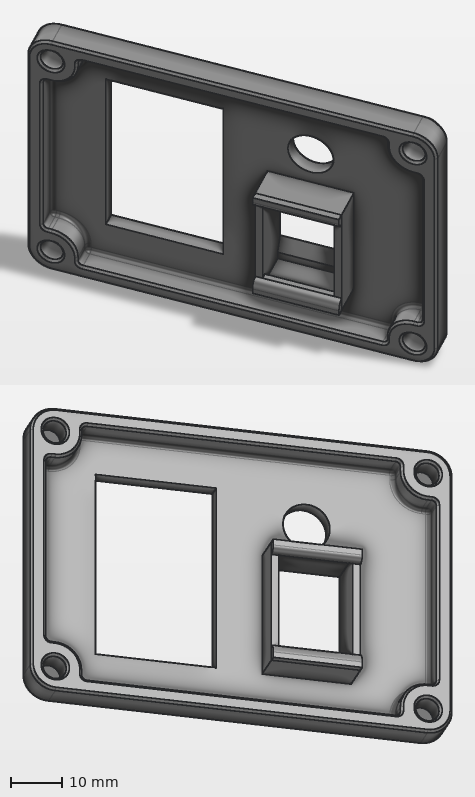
import cadquery as cq
import math


LENGTH = 85.0
HEIGHT = 60.0
THICKNESS = 8.0
CORNER_RADIUS = 5.0
BACK_CHAMFER = 2.4
RIM_CHAMFER = 0.5
SIDE_WALL = 3.15
END_WALL = 3.0
FLOOR = 3.0
FLOOR_FILLET = 0.9
POCKET_CORNER_RADIUS = 1.0

SCREW_INSET = 4.9
BOSS_RADIUS = 5.4
SCREW_HOLE_DIAMETER = 4.7
SCREW_HOLE_DEPTH = 5.0

WINDOW_WIDTH = 24.3
WINDOW_HEIGHT = 38.25
WINDOW_X = -15.9
ROUND_HOLE_DIAMETER = 9.4
SOCKET_X = 14.45
ROUND_HOLE_Z = 13.1

FRAME_WIDTH = 17.9
FRAME_HEIGHT = 25.2
FRAME_FRONT = 9.8
FRAME_CENTER_Z = -6.8
FRAME_SIDE_WALL = 1.5
FRAME_END_WALL = 1.3
SILL_RISE = 1.6
SILL_DEPTH = 1.45
RAMP_RISE = 3.3
LEDGE_DEPTH = 1.3

TOTAL_DEPTH = 11.2
LIP_FLAT = 1.2
LOWER_LIP_HEIGHT = 3.2

SELECT_MARGIN = 0.1

UPPER_LIP_HEIGHT = LIP_FLAT + TOTAL_DEPTH - FRAME_FRONT
SCREW_X = LENGTH / 2 - SCREW_INSET
SCREW_Z = HEIGHT / 2 - SCREW_INSET
SCREW_POINTS = [(sx * SCREW_X, sz * SCREW_Z) for sx in (-1, 1) for sz in (-1, 1)]
FRAME_BOTTOM = FRAME_CENTER_Z - FRAME_HEIGHT / 2
FRAME_TOP = FRAME_CENTER_Z + FRAME_HEIGHT / 2


def plane_at(y):
    """XZ sketch plane at the given Y, extruding toward -Y."""
    return cq.Workplane("XZ", origin=(0, y, 0))


def across_frame(width):
    """YZ sketch plane at the -X end of a span of this width centred on the frame."""
    return cq.Workplane("YZ", origin=(SOCKET_X - width / 2, 0, 0))


def make_pocket():
    """Recess inside the rim: two crossed bars whose four inner corners leave room for the bosses."""
    boss_reach = SCREW_INSET + BOSS_RADIUS
    inner_width = LENGTH - 2 * boss_reach
    inner_height = HEIGHT - 2 * boss_reach
    depth = THICKNESS - FLOOR

    def bar(width, height):
        return plane_at(-FLOOR).rect(width, height).extrude(depth).edges("|Y").fillet(POCKET_CORNER_RADIUS)

    pocket = bar(LENGTH - 2 * SIDE_WALL, inner_height).union(bar(inner_width, HEIGHT - 2 * END_WALL))
    half_x = inner_width / 2 + SELECT_MARGIN
    half_z = inner_height / 2 + SELECT_MARGIN
    inner_zone = cq.selectors.BoxSelector((-half_x, -THICKNESS, -half_z), (half_x, 0, half_z))
    pocket = pocket.edges("|Y").edges(inner_zone).fillet(BOSS_RADIUS)
    return pocket.faces(">Y").edges().fillet(FLOOR_FILLET)


def make_screw_holes():
    """Blind holes entering the bosses from the rim."""
    holes = plane_at(SCREW_HOLE_DEPTH - THICKNESS).pushPoints(SCREW_POINTS)
    return holes.circle(SCREW_HOLE_DIAMETER / 2).extrude(SCREW_HOLE_DEPTH)


def make_shell():
    """Rounded plate hollowed from the front, with every edge of its rim chamfered."""
    shell = plane_at(0).rect(LENGTH, HEIGHT).extrude(THICKNESS).edges("|Y").fillet(CORNER_RADIUS)
    shell = shell.faces(">Y").chamfer(BACK_CHAMFER)
    shell = shell.cut(make_pocket()).cut(make_screw_holes())
    return shell.faces("<Y").edges().chamfer(RIM_CHAMFER)


def make_frame_block():
    """Solid block of the socket frame, from the back face of the lid to the frame front."""
    block = plane_at(0).center(SOCKET_X, FRAME_CENTER_Z).rect(FRAME_WIDTH, FRAME_HEIGHT)
    return block.extrude(FRAME_FRONT)


def make_frame_opening():
    """Opening through the frame: a ramp and sill at the back and a ledge under the lower lip."""
    ceiling = FRAME_TOP - FRAME_END_WALL
    bottom = FRAME_BOTTOM + FRAME_END_WALL
    sill = bottom + SILL_RISE
    ledge_top = FRAME_BOTTOM + LOWER_LIP_HEIGHT
    ledge_back = LEDGE_DEPTH - FRAME_FRONT
    profile = [
        (0, ceiling),
        (0, sill + RAMP_RISE),
        (-SILL_DEPTH, sill),
        (-SILL_DEPTH, bottom),
        (ledge_back, bottom),
        (ledge_back, ledge_top),
        (-FRAME_FRONT, ledge_top),
        (-FRAME_FRONT, ceiling),
    ]
    width = FRAME_WIDTH - 2 * FRAME_SIDE_WALL
    return across_frame(width).polyline(profile).close().extrude(width)


def make_lid():
    """Shell with its window and round hole, carrying the socket frame."""
    window = plane_at(0).center(WINDOW_X, 0).rect(WINDOW_WIDTH, WINDOW_HEIGHT).extrude(FLOOR)
    round_hole = plane_at(0).center(SOCKET_X, ROUND_HOLE_Z).circle(ROUND_HOLE_DIAMETER / 2).extrude(FLOOR)
    lid = make_shell().cut(window).cut(round_hole)
    return lid.union(make_frame_block()).cut(make_frame_opening())


def make_lip(outer_z, height):
    """Bar on the frame front; its inner front edge is rounded, and a negative height points down."""
    flat_z = outer_z + math.copysign(LIP_FLAT, height)
    inner_z = outer_z + height
    profile = (
        across_frame(FRAME_WIDTH)
        .moveTo(-FRAME_FRONT, outer_z)
        .lineTo(-TOTAL_DEPTH, outer_z)
        .lineTo(-TOTAL_DEPTH, flat_z)
        .tangentArcPoint((-FRAME_FRONT, inner_z), relative=False)
        .close()
    )
    return profile.extrude(FRAME_WIDTH)


lid = make_lid()
lower_lip = make_lip(FRAME_BOTTOM, LOWER_LIP_HEIGHT)
upper_lip = make_lip(FRAME_TOP, -UPPER_LIP_HEIGHT)
result = cq.Compound.makeCompound([lid.val(), lower_lip.val(), upper_lip.val()])